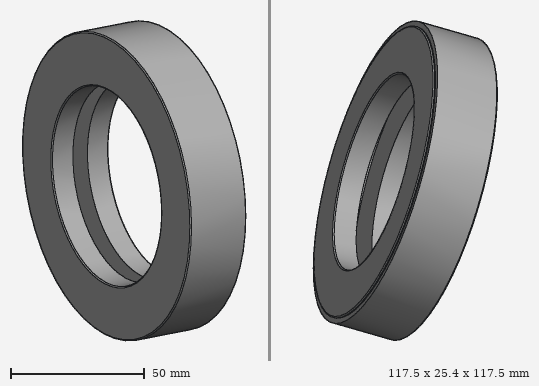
import cadquery as cq

outer_diameter = 117.5
bore_diameter = 76.2
total_width = 25.4
housing_width = 24.5
washer_diameter = 113.4
edge_chamfer = 0.5

front_wall = 9.5
groove_width = 6.5
washer_width = total_width - front_wall - groove_width

front_y = -total_width / 2
groove_front_y = front_y + front_wall
back_y = total_width / 2


def disc(diameter, start_y, width):
    """Solid disc centred on Y, reaching from start_y toward +Y."""
    return cq.Workplane("XZ", origin=(0, start_y, 0)).circle(diameter / 2).extrude(-width)


def make_housing():
    """Cup with a chamfered front rim, a front bore and a deep seat open at the back."""
    body = disc(outer_diameter, front_y, housing_width).faces("<Y").edges().chamfer(edge_chamfer)
    bore = disc(bore_diameter, front_y, total_width)
    seat = disc(washer_diameter, groove_front_y, total_width)
    bored = body.cut(bore)
    bore_front_edge = bored.faces("<Y").edges("%CIRCLE").edges(cq.selectors.RadiusNthSelector(0))
    return bore_front_edge.chamfer(edge_chamfer).cut(seat)


def make_washer():
    """Flat ring filling the back of the seat, slightly proud of the housing, with chamfered back rims."""
    washer_front_y = back_y - washer_width
    ring = disc(washer_diameter, washer_front_y, washer_width)
    ring = ring.cut(disc(bore_diameter, washer_front_y, washer_width))
    return ring.faces(">Y").edges().chamfer(edge_chamfer)


housing = make_housing()
washer = make_washer()

result = cq.Compound.makeCompound([housing.val(), washer.val()])